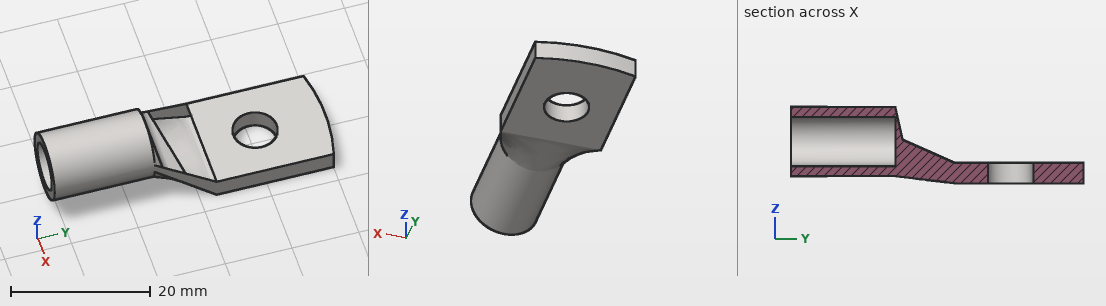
import cadquery as cq
import math

length = 42.0
palm_width = 15.0
palm_thickness = 3.0

barrel_diameter = 10.0
bore_diameter = 7.0
barrel_length = 15.0
barrel_lift = 1.0
barrel_axis_z = barrel_lift + barrel_diameter / 2

neck_length = 8.5
palm_start = barrel_length + neck_length
side_half_angle = 8.6
neck_hollow = [(1.75, 1.8), (2.7, 3.05), (4.6, 5.6)]

tip_rise = 0.95
hole_diameter = 6.45
hole_from_tip = 10.5


def make_barrel():
    """Solid round bar; the bore is cut afterwards."""
    end_plane = cq.Workplane("XZ", origin=(0, 0, barrel_axis_z))
    return end_plane.circle(barrel_diameter / 2).extrude(-barrel_length)


def barrel_rim_point(angle):
    """Point where the neck meets the barrel; angle in degrees above +X."""
    radius = barrel_diameter / 2
    x = radius * math.cos(math.radians(angle))
    z = barrel_axis_z + radius * math.sin(math.radians(angle))
    return cq.Vector(x, barrel_length, z)


def make_neck():
    """Blend from the round barrel to the flat palm, with a hollow top face."""
    half_width = palm_width / 2
    half_angle = side_half_angle
    rim_angles = [half_angle, 180 - half_angle, 180 + half_angle, 360 - half_angle]
    corners = [
        cq.Vector(half_width, palm_start, palm_thickness),
        cq.Vector(-half_width, palm_start, palm_thickness),
        cq.Vector(-half_width, palm_start, 0),
        cq.Vector(half_width, palm_start, 0),
    ]
    rim_points = [barrel_rim_point(angle) for angle in rim_angles]
    arcs = []
    lines = []
    rails = []
    for i in range(4):
        following = (i + 1) % 4
        end_angle = rim_angles[following] + (360 if following == 0 else 0)
        middle = barrel_rim_point((rim_angles[i] + end_angle) / 2)
        arcs.append(cq.Edge.makeThreePointArc(rim_points[i], middle, rim_points[following]))
        lines.append(cq.Edge.makeLine(corners[i], corners[following]))
        rails.append(cq.Edge.makeLine(rim_points[i], corners[i]))

    barrel_top = barrel_lift + barrel_diameter
    hollow_points = [
        cq.Vector(0, barrel_length + distance, barrel_top - drop)
        for distance, drop in neck_hollow
    ]
    top_boundary = [arcs[0], rails[1], lines[0], rails[0]]
    top_face = cq.Face.makeNSidedSurface(top_boundary, hollow_points, degree=2)
    ruled_faces = [cq.Face.makeRuledSurface(arcs[i], lines[i]) for i in range(1, 4)]
    end_faces = [
        cq.Face.makeFromWires(cq.Wire.assembleEdges(arcs)),
        cq.Face.makeFromWires(cq.Wire.assembleEdges(lines)),
    ]
    shell = cq.Shell.makeShell([top_face] + ruled_faces + end_faces)
    return cq.Workplane(cq.Solid.makeSolid(shell).fix())


def make_palm():
    """Flat plate with an arched end."""
    half_width = palm_width / 2
    corner_y = length - tip_rise
    return (
        cq.Workplane("XY")
        .moveTo(-half_width, palm_start)
        .lineTo(half_width, palm_start)
        .lineTo(half_width, corner_y)
        .threePointArc((0, length), (-half_width, corner_y))
        .close()
        .extrude(palm_thickness)
    )


def make_bore():
    """Blind bore running the length of the barrel."""
    end_plane = cq.Workplane("XZ", origin=(0, 0, barrel_axis_z))
    return end_plane.circle(bore_diameter / 2).extrude(-barrel_length)


def make_bolt_hole():
    """Through hole in the palm."""
    return (
        cq.Workplane("XY")
        .center(0, length - hole_from_tip)
        .circle(hole_diameter / 2)
        .extrude(palm_thickness)
    )


body = make_barrel().union(make_neck()).union(make_palm())
result = body.cut(make_bore()).cut(make_bolt_hole())